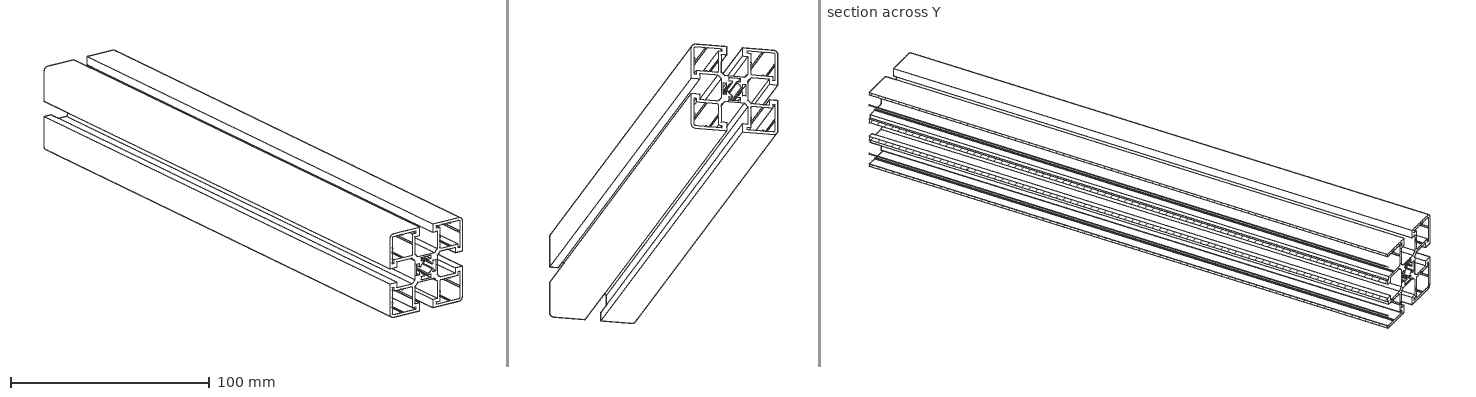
import cadquery as cq

length = 300.0
width = 45.0
corner_radius = 2.5

slot_opening = 8.0
lip_depth = 4.5
channel_width = 13.8
channel_chamfer = 1.8

skin = 1.5
web = 1.5
ledge = 1.8
lip_width = 2.5
inner_fillet = 1.0
outer_fillet = 1.0

rib_radius = 0.45
rib_position = 14.7

core_wall = 1.0
bore_diameter = 7.2
boss_root = 3.0
barb_outer = 4.2
barb_tip = 1.2

half_width = width / 2
half_opening = slot_opening / 2
half_channel = channel_width / 2
half_core = half_channel - core_wall
channel_top = half_width - lip_depth
cell_inner = half_channel + web
cell_outer = half_width - skin
cell_ledge = channel_top + ledge
cell_lip = half_opening + lip_width


def along_length(sketch):
    """Extrude a YZ sketch over the full length, centred on the origin."""
    return sketch.extrude(length / 2, both=True)


def prism(points):
    return along_length(cq.Workplane("YZ").polyline(points).close())


def square_bar(side):
    return along_length(cq.Workplane("YZ").rect(side, side))


def cylinder(y, z, radius):
    return along_length(cq.Workplane("YZ").center(y, z).circle(radius))


def four_times(shape):
    """Repeat a shape at quarter turns about the profile axis."""
    turned = shape
    for quarter in range(1, 4):
        turned = turned.union(shape.rotate((0, 0, 0), (1, 0, 0), 90 * quarter))
    return turned


def mirrored_about_z(one_side):
    """Complete an outline that is symmetric about the Z axis."""
    return one_side + [(-y, z) for y, z in reversed(one_side)]


def mirrored_about_diagonal(one_side):
    """Complete an outline that is symmetric about the line y = z."""
    return one_side + [(z, y) for y, z in reversed(one_side) if y != z]


def bar():
    return square_bar(width).edges("|X").fillet(corner_radius)


def slot():
    """Top T-slot: wide channel with chamfered floor corners and a narrow opening."""
    return prism(mirrored_about_z([
        (half_channel - channel_chamfer, half_channel),
        (half_channel, half_channel + channel_chamfer),
        (half_channel, channel_top),
        (half_opening, channel_top),
        (half_opening, half_width),
    ]))


def corner_cell():
    """Void of the +Y +Z corner, with one rib left standing on each wall."""
    cell = prism(mirrored_about_diagonal([
        (cell_inner, cell_inner),
        (cell_inner, cell_ledge),
        (cell_lip, cell_ledge),
        (cell_lip, cell_outer),
        (cell_outer, cell_outer),
    ]))
    for corner, radius in ((cell_inner, inner_fillet), (cell_outer, outer_fillet)):
        corner_edge = cq.selectors.NearestToPointSelector((0, corner, corner))
        cell = cell.edges(corner_edge).fillet(radius)
    for wall in (cell_inner, cell_outer):
        cell = cell.cut(cylinder(wall, rib_position, rib_radius))
        cell = cell.cut(cylinder(rib_position, wall, rib_radius))
    return cell


def screw_boss():
    """Arrow-shaped boss in the +Y +Z corner of the core, hollowed by the bore."""
    boss = prism(mirrored_about_diagonal([
        (barb_tip, barb_tip),
        (barb_tip, barb_outer),
        (boss_root, barb_outer),
        (boss_root, half_core),
        (half_core, half_core),
    ]))
    return boss.cut(cylinder(0, 0, bore_diameter / 2))


core_void = square_bar(2 * half_core).cut(four_times(screw_boss()))

result = (
    bar()
    .cut(four_times(slot()))
    .cut(four_times(corner_cell()))
    .cut(core_void)
)